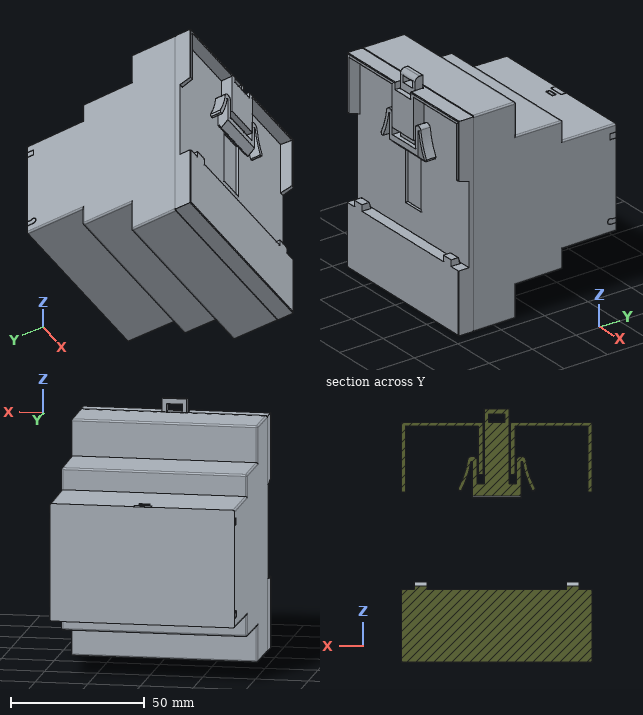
import cadquery as cq
import math

width = 71.2
depth = 73.0
height = 90.2
total_height = 95.09
mid_z = height / 2

housing_back = 7.0
step_front = [26.55, 48.25, depth]
step_height = [height, 62.2, 45.25]
draft_angle = 0.45
edge_radius = 0.65

cover_inset = 0.3
cover_bottom = cover_inset
cover_top = height - cover_inset
cover_chamfer = 0.3

rail_floor = 4.83
rail_bottom = 27.55
rail_top_inner = 63.5
rail_top_outer = 65.0
jaw_bump_height = 2.75
jaw_bump_width = 4.9
jaw_bump_x = 28.4
jaw_bump_top_depth = 3.3
jaw_bump_base_depth = 4.25

side_wall_rear = 1.35
side_wall_root = 1.7
pocket_top = 88.5
pillar_width = 13.9
pillar_bottom = 70.4

slot_width = 10.0
slot_floor = 6.05
slot_bottom = 38.4
notch_bottom = 86.85

tongue_width = 9.4
tongue_rear = 2.3
tongue_front = 5.85
tab_radius = 2.1
window_width = 5.9
window_bottom = 90.0
window_top = total_height - tab_radius
yoke_rear = 0.5
yoke_inner = 7.35
yoke_outer = 9.2
yoke_top = 67.0
yoke_bevel_start = 64.5
hook_tip_y = 3.5
hook_tip_z = 61.65
hook_root_y = 4.3
hook_root_z = 63.6

arm_root_z = 75.2
arm_fold_z = 76.2
arm_fold_crown = (9.0, 77.3)
arm_fold_outer_x = 10.85
arm_outer_mid = (12.15, 70.6)
arm_tip_outer = (14.5, 65.2)
arm_tip_end = (14.1, 64.3)
arm_tip_inner = (13.2, 64.3)
arm_inner_mid = (10.95, 69.6)
arm_inner_top = (9.55, arm_root_z)

mark_depth = 0.1
top_latch_width = 6.6
top_latch_length = 2.4
top_dimple_width = 4.0
top_dimple_length = 1.6
top_dimple_y = 68.3
top_dimple_depth = 0.3
side_latch_length = 2.85
side_latch_height = 2.45
side_latch_z = 62.8
side_pin_z = 27.25
side_pin_height = 2.1
side_pin_length = 2.7
side_pin_radius = 1.2
side_pin_round_z = 27.5

draft_slope = math.tan(math.radians(draft_angle))


def box(x_size, y0, y1, z0, z1):
    """Axis-aligned box, centred on X = 0, between the given Y and Z limits."""
    center = (0, (y0 + y1) / 2, (z0 + z1) / 2)
    return cq.Workplane("XY").box(x_size, y1 - y0, z1 - z0).translate(center)


def half_width_at(y):
    """Half width of the drafted housing at depth y."""
    return width / 2 - (y - housing_back) * draft_slope


def housing_block(step_back, front, block_height, slope):
    """Block from the housing back to the given front; block_height is its height at step_back."""
    half_back = block_height / 2 + (step_back - housing_back) * slope
    half_front = block_height / 2 - (front - step_back) * slope
    side_outline = (
        cq.Workplane("YZ")
        .polyline([
            (housing_back, mid_z - half_back),
            (front, mid_z - half_front),
            (front, mid_z + half_front),
            (housing_back, mid_z + half_back),
        ])
        .close()
        .extrude(width / 2, both=True)
    )
    plan_outline = (
        cq.Workplane("XY")
        .polyline([
            (-half_width_at(housing_back), housing_back),
            (-half_width_at(front), front),
            (half_width_at(front), front),
            (half_width_at(housing_back), housing_back),
        ])
        .close()
        .extrude(height)
    )
    rounded_edges = "not (<Y or >Y)" if front == depth else "not <Y"
    return side_outline.intersect(plan_outline).edges(rounded_edges).fillet(edge_radius)


def housing():
    """Three stacked blocks; the rear one is not drafted in height."""
    body = housing_block(housing_back, step_front[0], step_height[0], 0)
    for step in (1, 2):
        body = body.union(housing_block(step_front[step - 1], step_front[step], step_height[step], draft_slope))
    return body


def rear_cover():
    """Cover plate with the rail channel, the upper hollow, the pillar and the jaw bumps."""
    cover = box(width, 0, housing_back, cover_bottom, cover_top).faces("<Y").chamfer(cover_chamfer)
    channel = (
        cq.Workplane("YZ")
        .polyline([
            (0, rail_bottom),
            (rail_floor, rail_bottom),
            (rail_floor, rail_top_inner),
            (0, rail_top_outer),
        ])
        .close()
        .extrude(width / 2, both=True)
    )
    pillar = box(pillar_width, 0, rail_floor, pillar_bottom, pocket_top)
    cover = cover.cut(channel).cut(rear_hollow()).union(pillar)
    for side in (-1, 1):
        cover = cover.union(jaw_bump(side * jaw_bump_x))
    return cover


def rear_hollow():
    """Hollow above the rail, open downward, with side walls that thicken toward the channel floor."""
    half_rear = width / 2 - side_wall_rear
    half_root = width / 2 - side_wall_root
    return (
        cq.Workplane("XY", origin=(0, 0, mid_z))
        .polyline([
            (-half_rear, 0),
            (half_rear, 0),
            (half_root, rail_floor),
            (-half_root, rail_floor),
        ])
        .close()
        .extrude(pocket_top - mid_z)
    )


def jaw_bump(x_mid):
    """Bump on the lower rail jaw with a sloping front."""
    bump_top = rail_bottom + jaw_bump_height
    return (
        cq.Workplane("YZ")
        .polyline([
            (0, rail_bottom),
            (0, bump_top),
            (jaw_bump_top_depth, bump_top),
            (jaw_bump_base_depth, rail_bottom),
        ])
        .close()
        .extrude(jaw_bump_width / 2, both=True)
        .translate((x_mid, 0, 0))
    )


def clip_slot():
    """Slot the clip slides in, opened to the rear by a notch at the top."""
    slot = box(slot_width, tongue_rear, slot_floor, slot_bottom, height)
    notch = box(slot_width, 0, tongue_rear, notch_bottom, height)
    return slot.union(notch)


def spring_arm():
    """Spring arm on the +X side, folded over the top of the yoke leg and bent outward."""
    outline = (
        cq.Workplane("XZ")
        .moveTo(yoke_inner, yoke_top)
        .lineTo(yoke_inner, arm_fold_z)
        .threePointArc(arm_fold_crown, (arm_fold_outer_x, arm_fold_z))
        .threePointArc(arm_outer_mid, arm_tip_outer)
        .lineTo(*arm_tip_end)
        .lineTo(*arm_tip_inner)
        .threePointArc(arm_inner_mid, arm_inner_top)
        .lineTo(yoke_outer, arm_root_z)
        .lineTo(yoke_outer, yoke_top)
        .close()
    )
    return outline.extrude(yoke_rear - rail_floor).translate((0, yoke_rear, 0))


def clip():
    """Rail clip: tongue with a pull tab, hooked cross bar and two spring arms."""
    tongue = box(tongue_width, tongue_rear, tongue_front, yoke_bevel_start, total_height)
    tongue = tongue.edges("<Y and >Z").fillet(tab_radius)
    tongue = tongue.cut(box(window_width, 0, housing_back, window_bottom, window_top))
    bar = (
        cq.Workplane("YZ")
        .polyline([
            (rail_floor, yoke_top),
            (yoke_rear, yoke_top),
            (yoke_rear, yoke_bevel_start),
            (hook_tip_y, hook_tip_z),
            (hook_root_y, hook_root_z),
            (rail_floor, hook_root_z),
        ])
        .close()
        .extrude(yoke_outer, both=True)
    )
    arm = spring_arm()
    return tongue.union(bar).union(arm).union(arm.mirror("YZ"))


def top_marks():
    """Shallow latch recess and dimple on the top of the front block."""
    rear_top = mid_z + step_height[-1] / 2
    front_top = rear_top - (depth - step_front[-2]) * draft_slope
    dimple_top = rear_top - (top_dimple_y - step_front[-2]) * draft_slope
    latch = box(top_latch_width, depth - top_latch_length, depth, front_top - mark_depth, rear_top)
    dimple_start = top_dimple_y - top_dimple_length / 2
    dimple_end = top_dimple_y + top_dimple_length / 2
    dimple = box(top_dimple_width, dimple_start, dimple_end, dimple_top - top_dimple_depth, rear_top)
    return latch.union(dimple)


def side_marks():
    """Shallow latch and pin recesses on the -X and +X sides of the front block."""
    inner_width = 2 * (half_width_at(depth) - mark_depth)
    latch_half = side_latch_height / 2
    pin_half = side_pin_height / 2
    latch = box(width, depth - side_latch_length, depth, side_latch_z - latch_half, side_latch_z + latch_half)
    pin_y = depth - side_pin_length
    pin = box(width, pin_y, depth, side_pin_z - pin_half, side_pin_z + pin_half)
    pin_end = cq.Workplane("YZ").center(pin_y, side_pin_round_z)
    pin = pin.union(pin_end.circle(side_pin_radius).extrude(width / 2, both=True))
    core = box(inner_width, housing_back, depth, 0, height)
    return latch.union(pin).cut(core)


result = (
    housing()
    .union(rear_cover())
    .cut(clip_slot())
    .union(clip())
    .cut(top_marks())
    .cut(side_marks())
)